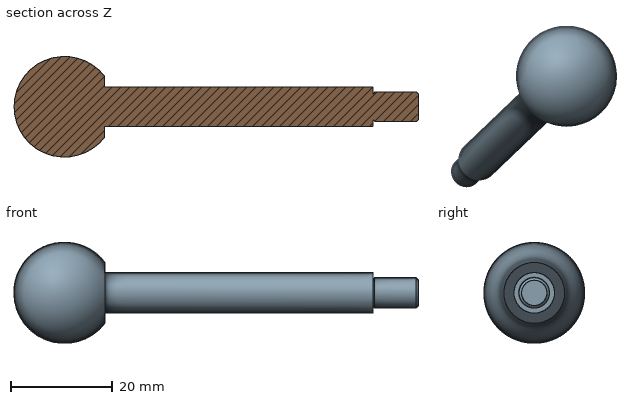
import cadquery as cq
import math

total_length = 80.0
shoulder_position = 71.0
ball_flat_position = 18.0

ball_radius = 10.0
shaft_radius = 4.0
tip_radius = 3.0

tip_bevel_depth = 0.5
root_bevel_angle = 60.0
root_bevel_length = tip_bevel_depth / math.tan(math.radians(root_bevel_angle))

crown_x = -ball_radius
flat_x = crown_x + ball_flat_position
shoulder_x = crown_x + shoulder_position
end_x = crown_x + total_length
flat_radius = math.sqrt(ball_radius**2 - flat_x**2)


def handle_profile():
    """Half outline in the XZ plane, from the crown of the ball to the tip."""
    outline = cq.Workplane("XZ").moveTo(crown_x, 0)

    outline = outline.threePointArc((0, ball_radius), (flat_x, flat_radius))

    outline = outline.lineTo(flat_x, shaft_radius).lineTo(shoulder_x, shaft_radius)

    outline = (
        outline.lineTo(shoulder_x, tip_radius - tip_bevel_depth)
        .lineTo(shoulder_x + root_bevel_length, tip_radius)
        .lineTo(end_x - tip_bevel_depth, tip_radius)
        .lineTo(end_x, tip_radius - tip_bevel_depth)
        .lineTo(end_x, 0)
    )
    return outline.close()


result = handle_profile().revolve(360, (0, 0, 0), (1, 0, 0))